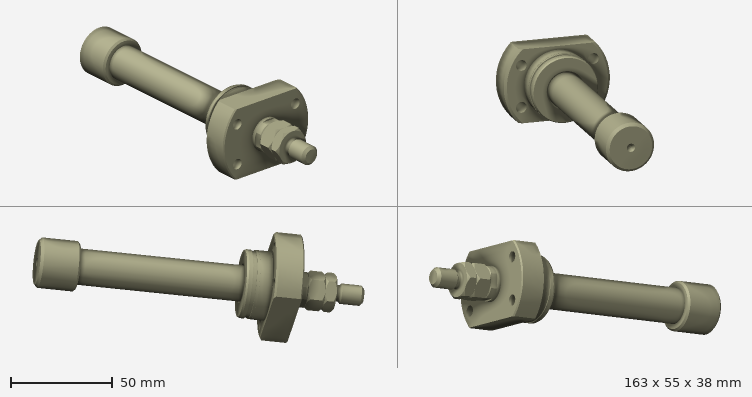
import cadquery as cq
import math

piston_length = 20.0
gland_start = 102.0
flange_start = 114.9
flange_end = 128.8
rod_taper_start = 129.7
rod_neck_start = 130.5
rod_end = 134.5
hex_joint = 143.0
hex_end = 148.7
overall_length = 163.0

piston_diameter = 25.0
piston_front_chamfer = 1.5
piston_rear_chamfer = 1.0
rod_diameter = 18.0
neck_diameter = 17.6
neck_across_flats = 16.0
rod_end_chamfer = 0.5
centre_mouth_diameter = 4.2
centre_drill_diameter = 2.0
centre_drill_depth = 4.2
centre_half_angle = 30.0

bore_mouth_chamfer = 0.8
boss_diameter = 34.0
boss_front_chamfer = 1.0
boss_front_chamfer_height = 0.5
groove_start = 105.0
groove_end = 107.1
groove_depth = 0.5
land_end = 108.5
boss_seat_diameter = 34.2
flange_diameter = 55.0
flange_height = 38.0
flange_front_chamfer = 1.0
flange_front_chamfer_height = 1.3
flange_rear_chamfer = 0.7
bolt_circle_diameter = 43.0
bolt_hole_diameter = 5.5
bolt_half_angle = 30.0

hex_across_flats = 17.0
hex_face_diameter = hex_across_flats
stud_diameter = 10.1
stud_end_chamfer = 1.5
relief_diameter = 8.2
relief_end = 150.8
relief_fillet = 1.0
stud_start = 151.8

hex_across_corners = hex_across_flats / math.cos(math.radians(30))


def revolve_about_x(points):
    """Solid of revolution from an (x, radius) outline that starts and ends on the axis."""
    return cq.Workplane("XY").polyline(points).close().revolve(360, (0, 0, 0), (1, 0, 0))


def cylinder_x(start, end, diameter):
    """Cylinder on the X axis between two stations."""
    return cq.Workplane("YZ", origin=(start, 0, 0)).circle(diameter / 2).extrude(end - start)


def make_centre_hole():
    """Conical centre mark with a short pilot, opening on the piston face."""
    mouth_radius = centre_mouth_diameter / 2
    drill_radius = centre_drill_diameter / 2
    cone_depth = (mouth_radius - drill_radius) / math.tan(math.radians(centre_half_angle))
    return revolve_about_x([
        (0, 0),
        (0, mouth_radius),
        (cone_depth, drill_radius),
        (centre_drill_depth, drill_radius),
        (centre_drill_depth, 0),
    ])


def make_neck_envelope():
    """Square bar that leaves four wrench flats on the neck of the rod."""
    return (
        cq.Workplane("YZ", origin=(rod_neck_start, 0, 0))
        .rect(neck_across_flats, neck_across_flats)
        .extrude(rod_end - rod_neck_start)
    )


def make_piston_rod():
    """Piston, rod and flatted neck in one piece."""
    piston_radius = piston_diameter / 2
    rod_radius = rod_diameter / 2
    neck_radius = neck_diameter / 2
    rod = revolve_about_x([
        (0, 0),
        (0, piston_radius - piston_front_chamfer),
        (piston_front_chamfer, piston_radius),
        (piston_length - piston_rear_chamfer, piston_radius),
        (piston_length, piston_radius - piston_rear_chamfer),
        (piston_length, rod_radius),
        (rod_taper_start, rod_radius),
        (rod_neck_start, neck_radius),
        (rod_neck_start, 0),
    ])
    neck = cylinder_x(rod_neck_start, rod_end, neck_diameter).faces(">X").chamfer(rod_end_chamfer)
    neck = neck.intersect(make_neck_envelope())
    return rod.union(neck).cut(make_centre_hole())


def make_flange():
    """Round flange with chamfered rims, cut flat at the top and bottom."""
    radius = flange_diameter / 2
    flange = revolve_about_x([
        (flange_start, 0),
        (flange_start, radius - flange_front_chamfer_height),
        (flange_start + flange_front_chamfer, radius),
        (flange_end - flange_rear_chamfer, radius),
        (flange_end, radius - flange_rear_chamfer),
        (flange_end, 0),
    ])
    flat_bar = (
        cq.Workplane("YZ", origin=(flange_start, 0, 0))
        .rect(flange_diameter, flange_height)
        .extrude(flange_end - flange_start)
    )
    return flange.intersect(flat_bar)


def make_boss():
    """Grooved spigot in front of the flange."""
    radius = boss_diameter / 2
    seat_radius = boss_seat_diameter / 2
    return revolve_about_x([
        (gland_start, 0),
        (gland_start, radius - boss_front_chamfer_height),
        (gland_start + boss_front_chamfer, radius),
        (groove_start, radius),
        (groove_start, radius - groove_depth),
        (groove_end, radius - groove_depth),
        (groove_end, radius),
        (land_end, radius),
        (land_end, seat_radius),
        (flange_start, seat_radius),
        (flange_start, 0),
    ])


def make_bolt_holes():
    """Four through holes on the flange bolt circle."""
    hole_y = bolt_circle_diameter / 2 * math.cos(math.radians(bolt_half_angle))
    hole_z = bolt_circle_diameter / 2 * math.sin(math.radians(bolt_half_angle))
    return (
        cq.Workplane("YZ", origin=(flange_start, 0, 0))
        .rect(2 * hole_y, 2 * hole_z, forConstruction=True)
        .vertices()
        .circle(bolt_hole_diameter / 2)
        .extrude(flange_end - flange_start)
    )


def make_bore():
    """Bore that fits the rod, with a conical mouth in the boss face."""
    radius = rod_diameter / 2
    return revolve_about_x([
        (gland_start, 0),
        (gland_start, radius + bore_mouth_chamfer),
        (gland_start + bore_mouth_chamfer, radius),
        (flange_end, radius),
        (flange_end, 0),
    ])


def make_gland():
    """Flanged gland with a bore that fits the rod."""
    return make_flange().union(make_boss()).cut(make_bolt_holes()).cut(make_bore())


def make_hexagon(start, end):
    """Hexagon with corners on the Y axis and both ends turned conical."""
    prism = cq.Workplane("YZ", origin=(start, 0, 0)).polygon(6, hex_across_corners).extrude(end - start)
    chamfer = (hex_across_corners - hex_face_diameter) / 2
    envelope = cylinder_x(start, end, hex_across_corners).edges().chamfer(chamfer)
    return prism.intersect(envelope)


def make_stud():
    """Chamfered stud with a relief neck that is filleted into the hexagon face."""
    stud_radius = stud_diameter / 2
    relief_radius = relief_diameter / 2
    outline = (
        cq.Workplane("XY")
        .moveTo(hex_end, 0)
        .lineTo(hex_end, relief_radius + relief_fillet)
        .radiusArc((hex_end + relief_fillet, relief_radius), -relief_fillet)
        .lineTo(relief_end, relief_radius)
        .lineTo(stud_start, stud_radius)
        .lineTo(overall_length - stud_end_chamfer, stud_radius)
        .lineTo(overall_length, stud_radius - stud_end_chamfer)
        .lineTo(overall_length, 0)
        .close()
    )
    return outline.revolve(360, (0, 0, 0), (1, 0, 0))


def make_coupling():
    """Two hexagons and the stud in one piece."""
    long_hexagon = make_hexagon(rod_end, hex_joint)
    short_hexagon = make_hexagon(hex_joint, hex_end)
    return long_hexagon.union(short_hexagon).union(make_stud())


piston_rod = make_piston_rod()
gland = make_gland()
coupling = make_coupling()

result = cq.Compound.makeCompound([piston_rod.val(), gland.val(), coupling.val()])